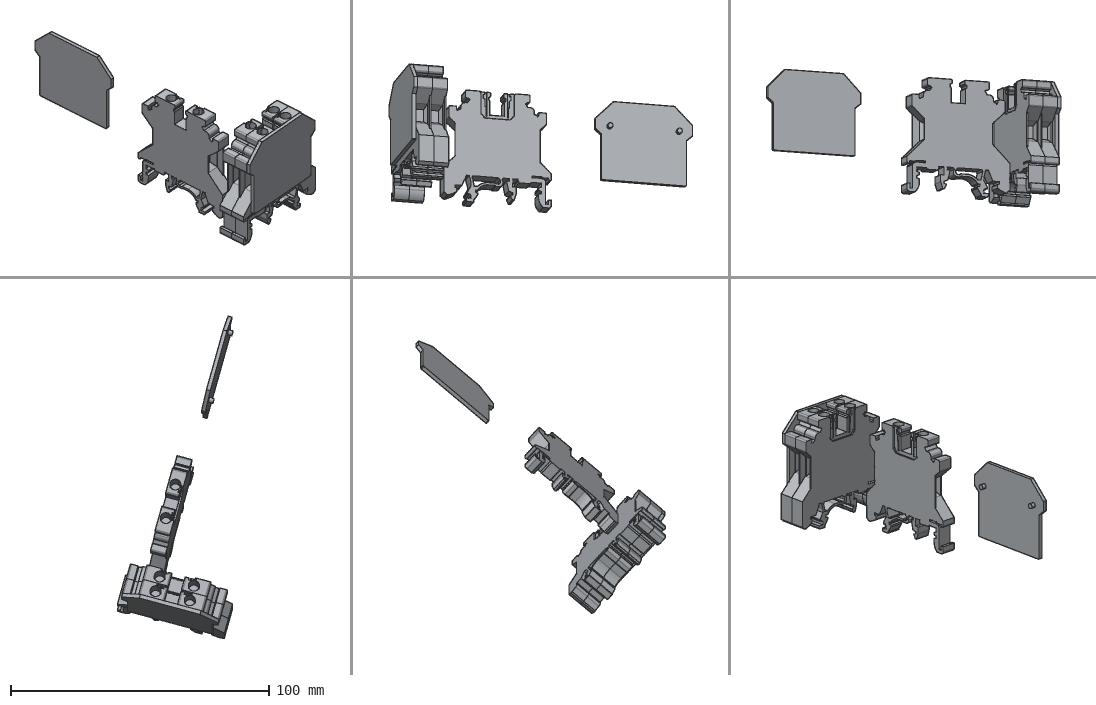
import cadquery as cq


stack_width = 12.0
block_thick = stack_width / 2
block_height = 45.4
hook_lip_low = 11.1
base_z = 10.7
block_length = 43.0
half_length = block_length / 2

plate_thick = 1.5
plate_half = 19.4
plate_height = 32.1
plate_corner = 0.4
pin_dia = 2.0
pin_length = 1.8
pin_offset = 13.9
pin_depth = 10.3

head_half = 12.9
head_low = 42.2
lip_half = 19.5
lip_top = 38.5
corner_radius = 0.6
hook_radius = 1.1

waist_half = 14.2
waist_low, waist_high = 21.0, 29.0
flank_low = 13.9
flank_high = 33.9
rear_wall_half = 17.0
rear_wall_thick = 0.53

funnel_depth = 2.8
funnel_outer_y = -3.1
funnel_inner_y = -3.3
funnel_outer_width = 4.9
funnel_inner_width = 3.5
funnel_inner_height = 5.0

screw_dia = 4.3
screw_offset = 6.9
screw_y = -3.2
slot_depth = 9.2
slot_half = 3.0
slot_lip_half = 2.6

recess_depth = 0.7
groove_depth = 1.4

rail_y = -7.6
stack_rise = 2.1
plate_x = plate_half
block_x = 77.9
stack_x = 104.9

foot_overlap = 0.6


def prism(points, depth):
    """Extrude a closed X-Z outline from the mating face towards -Y."""
    return cq.Workplane("XZ").polyline(points).close().extrude(depth)


def both_sides(half):
    """Join a half shape with its mirror image across the plane X = 0."""
    return half.union(half.mirror("YZ"))


def round_edge(part, x, z):
    """Round the edge that runs along Y through the point (x, z)."""
    middle = cq.selectors.NearestToPointSelector((x, -block_thick / 2, z))
    return part.edges(middle).fillet(corner_radius)


def below_top(drop):
    return block_height - drop


def body():
    """Symmetric upper body with shoulders, waist and stepped marker slots."""
    half = (
        cq.Workplane("XZ")
        .moveTo(0, base_z)
        .lineTo(half_length, base_z)
        .lineTo(half_length, flank_low)
        .lineTo(waist_half, waist_low)
        .lineTo(waist_half, waist_high)
        .lineTo(lip_half, flank_high)
        .lineTo(lip_half, lip_top - corner_radius)
        .tangentArcPoint((lip_half - corner_radius, lip_top), relative=False)
        .lineTo(16.5, lip_top)
        .lineTo(16.5, 37.4)
        .lineTo(16.1, 36.8)
        .lineTo(14.7, 37.7)
        .lineTo(14.7, 38.6)
        .threePointArc((14.2, 39.7), (13.1, 40.3))
        .lineTo(12.1, 40.3)
        .lineTo(11.1, 41.6)
        .lineTo(11.8, head_low)
        .lineTo(head_half, head_low)
        .lineTo(head_half, below_top(corner_radius))
        .tangentArcPoint((head_half - corner_radius, block_height), relative=False)
        .lineTo(0, block_height)
        .close()
        .extrude(block_thick)
    )
    half = round_edge(half, head_half, head_low)
    half = round_edge(half, lip_half, flank_high)
    rear_wall = prism(
        [
            (0, flank_low),
            (rear_wall_half, flank_low),
            (rear_wall_half, flank_high),
            (0, flank_high),
        ],
        rear_wall_thick,
    )
    return both_sides(half.union(rear_wall))


def centre_slot():
    """Slot between the screw heads, with a lip and a snap notch on each side."""
    half = (
        cq.Workplane("XZ")
        .moveTo(0, below_top(slot_depth))
        .lineTo(slot_half, below_top(slot_depth))
        .lineTo(slot_half, below_top(3.4))
        .lineTo(3.4, below_top(3.0))
        .lineTo(3.4, below_top(2.1))
        .lineTo(slot_lip_half, below_top(1.5))
        .lineTo(slot_lip_half, below_top(corner_radius))
        .radiusArc((slot_lip_half + corner_radius, block_height), corner_radius)
        .lineTo(0, block_height)
        .close()
        .extrude(block_thick)
    )
    return both_sides(half)


def jumper_recess():
    """Shallow bevelled recess with a deeper bulged groove on each side of the slot."""
    recess = [
        (0, block_height),
        (7.1, block_height),
        (6.6, below_top(0.8)),
        (6.6, below_top(9.1)),
        (5.0, below_top(10.8)),
        (0, below_top(10.8)),
    ]
    groove = [
        (4.1, block_height),
        (5.2, block_height),
        (4.9, below_top(0.7)),
        (5.6, below_top(1.2)),
        (5.6, below_top(2.4)),
        (4.9, below_top(3.1)),
        (4.9, below_top(5.8)),
        (4.5, below_top(5.8)),
        (4.5, below_top(9.7)),
        (4.1, below_top(9.7)),
    ]
    return both_sides(prism(recess, recess_depth).union(prism(groove, groove_depth)))


def wire_funnels():
    """Tapered wire entry in each waist face."""
    funnel = (
        cq.Workplane("YZ", origin=(waist_half, funnel_outer_y, (waist_low + waist_high) / 2))
        .rect(funnel_outer_width, waist_high - waist_low)
        .workplane(offset=-funnel_depth)
        .center(funnel_inner_y - funnel_outer_y, 0)
        .rect(funnel_inner_width, funnel_inner_height)
        .loft(ruled=True)
    )
    return funnel.add(funnel.mirror("YZ")).combine()


def screw_shafts():
    return (
        cq.Workplane("XY", origin=(0, screw_y, block_height))
        .pushPoints([(-screw_offset, 0), (screw_offset, 0)])
        .circle(screw_dia / 2)
        .extrude(-slot_depth)
    )


def release_gap():
    """Gap between the left end of the body and the flexible hook arm below it."""
    return prism(
        [
            (-half_length, base_z),
            (-half_length, hook_lip_low),
            (-20.6, hook_lip_low),
            (-20.3, 12.1),
            (-18.0, 12.1),
            (-17.4, 12.4),
            (-13.9, 12.4),
            (-13.9, 11.7),
            (-17.8, 11.7),
            (-18.8, 11.4),
            (-19.2, base_z),
        ],
        block_thick,
    )


def hook_arm():
    """Flexible left arm with an upturned end and a notched rail catch."""
    return (
        cq.Workplane("XZ")
        .moveTo(-19.2, base_z)
        .lineTo(-19.2, 1.4)
        .lineTo(-20.3, 1.4)
        .lineTo(-20.3, 3.2)
        .lineTo(-half_length, 3.2)
        .lineTo(-half_length, hook_radius)
        .tangentArcPoint((-half_length + hook_radius, 0), relative=False)
        .lineTo(-18.1, 0)
        .threePointArc((-16.8, 1.8), (-16.3, 3.8))
        .lineTo(-16.3, 5.2)
        .lineTo(-17.4, 5.6)
        .lineTo(-17.4, 6.4)
        .lineTo(-16.3, 6.9)
        .lineTo(-16.3, 7.7)
        .lineTo(-17.4, 8.3)
        .lineTo(-17.4, 9.8)
        .lineTo(-13.5, 9.8)
        .lineTo(-12.9, 9.2)
        .lineTo(-8.5, 9.2)
        .lineTo(-8.2, 10.1)
        .lineTo(-8.2, base_z)
        .lineTo(-8.2, base_z + foot_overlap)
        .lineTo(-17.8, base_z + foot_overlap)
        .close()
        .extrude(block_thick)
    )


def guide_foot():
    """Narrow barbed foot below the left half of the body."""
    return prism(
        [
            (-6.0, base_z + foot_overlap),
            (-6.0, 7.5),
            (-7.5, 7.5),
            (-7.5, 4.7),
            (-6.6, 2.1),
            (-5.8, 2.1),
            (-5.0, 3.8),
            (-6.0, 4.3),
            (-6.0, 5.0),
            (-4.4, 5.6),
            (-3.5, 9.6),
            (-4.6, 9.6),
            (-4.6, base_z + foot_overlap),
        ],
        block_thick,
    )


def spring_foot():
    """Foot hung from a thin web and a bowed spring strip."""
    outline = (
        cq.Workplane("XZ")
        .moveTo(-2.3, base_z + foot_overlap)
        .lineTo(-2.3, base_z)
        .lineTo(-1.8, 10.0)
        .lineTo(-2.1, 9.0)
        .threePointArc((-1.9, 7.8), (-0.8, 7.1))
        .lineTo(0.8, 7.1)
        .lineTo(1.1, 7.5)
        .lineTo(4.1, 7.5)
        .threePointArc((6.4, 6.6), (7.9, 5.0))
        .lineTo(8.9, 4.9)
        .lineTo(8.9, 4.0)
        .lineTo(7.9, 3.8)
        .lineTo(7.9, 3.1)
        .lineTo(9.6, 0.6)
        .lineTo(9.6, 0)
        .lineTo(12.2, 0)
        .lineTo(12.5, 0.5)
        .lineTo(12.5, 1.4)
        .lineTo(10.7, 1.4)
        .lineTo(10.7, 2.6)
        .lineTo(11.3, 3.2)
        .lineTo(12.1, 3.2)
        .lineTo(12.1, 3.9)
        .lineTo(10.7, 6.5)
        .lineTo(10.7, 7.9)
        .lineTo(11.4, base_z)
        .lineTo(11.4, base_z + foot_overlap)
        .close()
        .extrude(block_thick)
    )
    opening = (
        cq.Workplane("XZ")
        .moveTo(0, base_z)
        .lineTo(9.8, base_z)
        .lineTo(10.2, 10.0)
        .lineTo(9.4, 6.5)
        .lineTo(8.0, 6.5)
        .threePointArc((6.3, 7.8), (4.1, 8.4))
        .lineTo(1.1, 8.4)
        .lineTo(0.7, 8.0)
        .lineTo(-0.5, 8.0)
        .lineTo(-1.1, 8.8)
        .lineTo(-1.1, 9.7)
        .close()
        .extrude(block_thick)
    )
    return outline.cut(opening)


def solid_foot():
    """Rigid right foot with a rail hook on its inner side."""
    return prism(
        [
            (12.4, base_z + foot_overlap),
            (12.4, base_z),
            (14.3, 6.4),
            (17.0, 6.4),
            (17.0, 5.5),
            (16.3, 5.2),
            (16.3, 3.8),
            (17.4, 3.1),
            (19.5, 2.1),
            (20.3, 2.1),
            (half_length, 3.2),
            (half_length, base_z + foot_overlap),
        ],
        block_thick,
    )


def terminal_block():
    block = round_edge(body().cut(release_gap()), -half_length, hook_lip_low)
    for foot in (hook_arm(), guide_foot(), spring_foot(), solid_foot()):
        block = block.union(foot)
    for opening in (centre_slot(), jumper_recess(), wire_funnels(), screw_shafts()):
        block = block.cut(opening)
    return block


def plate_pins():
    """Two locating pins standing on the mating face, also used to cut their sockets."""
    return (
        cq.Workplane("XZ")
        .pushPoints([(side * pin_offset, below_top(pin_depth)) for side in (-1, 1)])
        .circle(pin_dia / 2)
        .extrude(-pin_length)
    )


def end_plate():
    bottom_z = below_top(plate_height)
    half = [
        (0, block_height),
        (12.2, block_height),
        (plate_half, below_top(7.2)),
        (plate_half, below_top(11.5)),
        (rear_wall_half, below_top(13.5)),
        (rear_wall_half, bottom_z + plate_corner),
        (rear_wall_half - plate_corner, bottom_z),
        (0, bottom_z),
    ]
    return both_sides(prism(half, plate_thick)).union(plate_pins())


def in_stack(part, mating_x):
    """Turn a part so its mating face looks towards -X, and lift it into the stack."""
    return part.rotate((0, 0, 0), (0, 0, 1), 90).translate((mating_x, 0, stack_rise))


stack_plate_x = stack_x + stack_width

separate_plate = end_plate().translate((plate_x, rail_y, 0))
separate_block = terminal_block().translate((block_x, rail_y, 0))
stacked_blocks = [
    in_stack(terminal_block(), stack_x + place * block_thick) for place in range(2)
]
stacked_plate = in_stack(end_plate(), stack_plate_x)

stacked_blocks[-1] = stacked_blocks[-1].cut(in_stack(plate_pins(), stack_plate_x))

result = cq.Compound.makeCompound(
    [separate_plate.val(), separate_block.val()]
    + [block.val() for block in stacked_blocks]
    + [stacked_plate.val()]
)